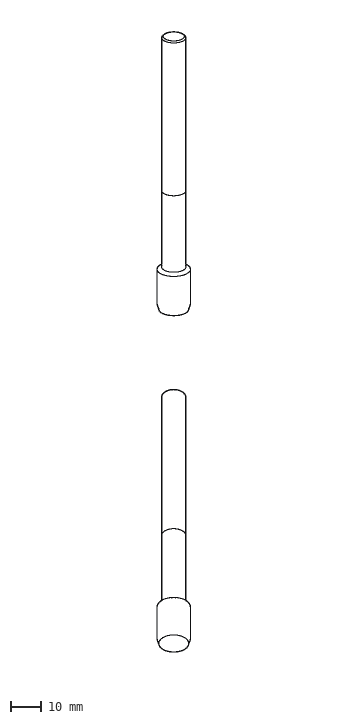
import cadquery as cq

total_length = 100
head_diameter = 11.1
neck_diameter = 8
shank_diameter = 8
joint_height = 43.5
neck_start = 15.5
shoulder_height = 0.8
bevel_height = 2
bevel_width = 0.6
shank_chamfer = 0.5


def make_cutter():
    """Bevelled head with a conical shoulder that carries a slim neck."""
    head_radius = head_diameter / 2
    neck_radius = neck_diameter / 2
    profile = (
        cq.Workplane("XZ")
        .lineTo(head_radius - bevel_width, 0)
        .lineTo(head_radius, bevel_height)
        .lineTo(head_radius, neck_start - shoulder_height)
        .lineTo(neck_radius, neck_start)
        .lineTo(neck_radius, joint_height)
        .lineTo(0, joint_height)
        .close()
    )
    return profile.revolve(360, (0, 0), (0, 1))


def make_shank():
    """Plain cylinder on top of the neck, chamfered at its free end."""
    return (
        cq.Workplane("XY", origin=(0, 0, joint_height))
        .circle(shank_diameter / 2)
        .extrude(total_length - joint_height)
        .faces(">Z")
        .chamfer(shank_chamfer)
    )


cutter = make_cutter()
shank = make_shank()

result = cq.Compound.makeCompound([cutter.val(), shank.val()])